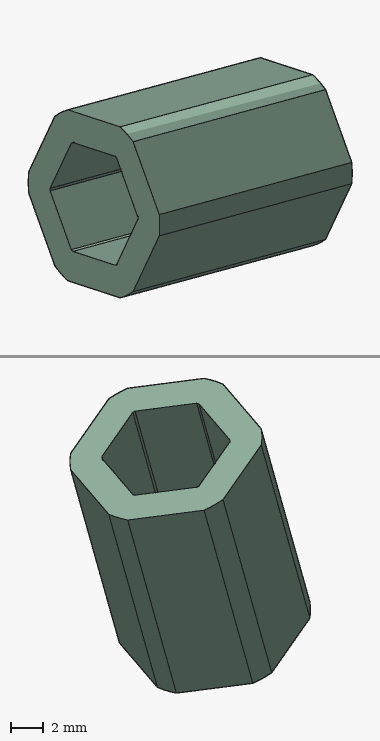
import cadquery as cq
import math

length = 16.0
outer_flats = 11.0
outer_diameter = 12.0
bore_flats = 7.0
bore_diameter = 8.0


def rounded_hex_bar(across_flats, corner_diameter):
    """Hexagonal bar along Y, corners on the X axis, with each corner trimmed to an arc."""
    across_corners = across_flats / math.cos(math.pi / 6)
    hexagon = cq.Workplane("XZ").polygon(6, across_corners).extrude(length / 2, both=True)
    cylinder = cq.Workplane("XZ").circle(corner_diameter / 2).extrude(length / 2, both=True)
    return hexagon.intersect(cylinder)


body = rounded_hex_bar(outer_flats, outer_diameter)
bore = rounded_hex_bar(bore_flats, bore_diameter)

result = body.cut(bore)